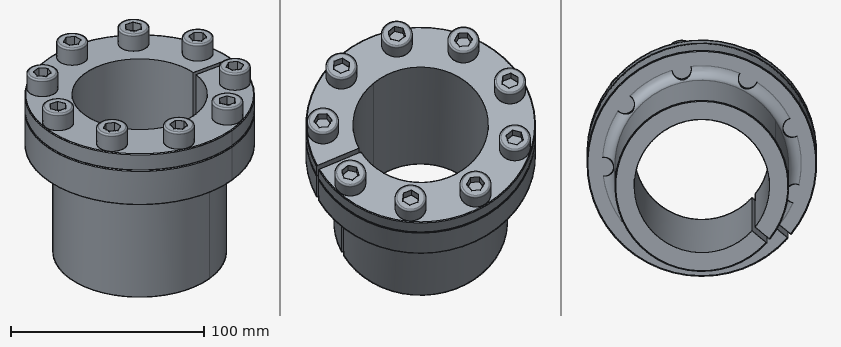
import cadquery as cq
import math

outer_diameter = 118.9
bore_diameter = 70.0
sleeve_diameter = 90.0
total_height = 106.0

ring_thickness = 10.0
flange_thickness = 20.9
fillet_radius = 6.4
edge_chamfer = 0.5

slit_width = 2.5
slit_angle = 72.0

screw_count = 9
first_screw_angle = 90.0
screw_circle_radius = 50.7
screw_diameter = 10.0
head_diameter = 16.0
head_height = 10.0
head_rounding = 1.0
socket_across_flats = 8.0
socket_depth = 5.0

outer_radius = outer_diameter / 2
bore_radius = bore_diameter / 2
sleeve_radius = sleeve_diameter / 2
ring_top = total_height - head_height
flange_top = ring_top - ring_thickness
flange_bottom = flange_top - flange_thickness
screw_angles = [first_screw_angle + i * 360 / screw_count for i in range(screw_count)]


def make_body():
    """Sleeve, flange and clamping ring as one revolved profile with chamfered rims."""
    rim_radius = outer_radius - edge_chamfer
    fillet_dip = fillet_radius * math.sqrt(0.5)
    fillet_center_radius = sleeve_radius + fillet_radius
    fillet_center_level = flange_bottom - fillet_radius
    return (
        cq.Workplane("XZ")
        .moveTo(bore_radius, 0)
        .lineTo(sleeve_radius - edge_chamfer, 0)
        .lineTo(sleeve_radius, edge_chamfer)
        .lineTo(sleeve_radius, fillet_center_level)
        .threePointArc(
            (fillet_center_radius - fillet_dip, fillet_center_level + fillet_dip),
            (fillet_center_radius, flange_bottom),
        )
        .lineTo(rim_radius, flange_bottom)
        .lineTo(outer_radius, flange_bottom + edge_chamfer)
        .lineTo(outer_radius, flange_top - edge_chamfer)
        .lineTo(rim_radius, flange_top)
        .lineTo(outer_radius, flange_top + edge_chamfer)
        .lineTo(outer_radius, ring_top - edge_chamfer)
        .lineTo(rim_radius, ring_top)
        .lineTo(bore_radius, ring_top)
        .close()
        .revolve(360, (0, 0, 0), (0, 1, 0))
    )


def make_slit():
    """Radial cutter that opens one side of the body over its full height."""
    return (
        cq.Workplane("XY")
        .center(outer_radius, 0)
        .rect(outer_diameter, slit_width)
        .extrude(total_height)
        .rotate((0, 0, 0), (0, 0, 1), slit_angle)
    )


def place_at_screw(shape, angle):
    """Move a shape from the axis to the screw circle, turning it to face outward."""
    return shape.translate((screw_circle_radius, 0, 0)).rotate((0, 0, 0), (0, 0, 1), angle)


def make_screw_relief():
    """Screw hole continued below the flange, where it notches the fillet."""
    return (
        cq.Workplane("XY")
        .workplane(offset=flange_bottom - fillet_radius)
        .circle(screw_diameter / 2)
        .extrude(fillet_radius)
    )


def make_screw_head():
    """Cylindrical head with a rounded top edge and a hexagon socket."""
    socket_across_corners = socket_across_flats / math.cos(math.radians(30))
    return (
        cq.Workplane("XY")
        .workplane(offset=ring_top)
        .circle(head_diameter / 2)
        .extrude(head_height)
        .faces(">Z")
        .edges()
        .fillet(head_rounding)
        .faces(">Z")
        .workplane()
        .polygon(6, socket_across_corners)
        .cutBlind(-socket_depth)
    )


result = make_body().cut(make_slit())
screw_relief = make_screw_relief()
screw_head = make_screw_head()
for angle in screw_angles:
    result = result.cut(place_at_screw(screw_relief, angle))
    result = result.union(place_at_screw(screw_head, angle))